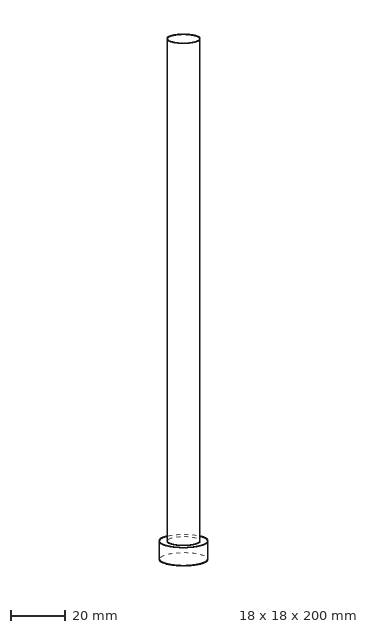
import cadquery as cq

total_length = 200.0
head_diameter = 18.0
head_height = 7.0
shank_diameter = 12.2

head = cq.Workplane("XY").circle(head_diameter / 2).extrude(head_height)
shank = cq.Workplane("XY").circle(shank_diameter / 2).extrude(total_length)

result = head.union(shank)